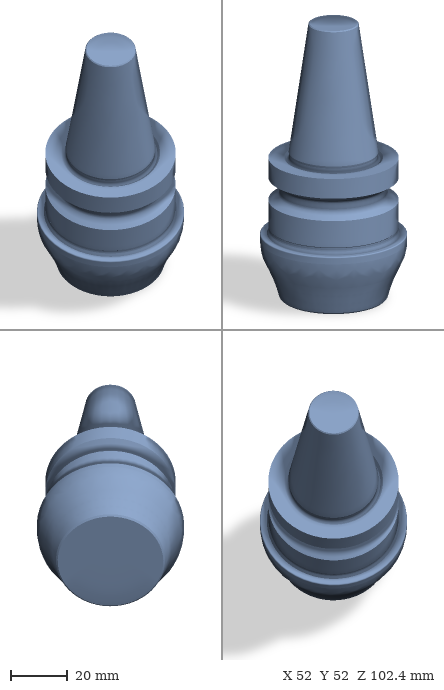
import cadquery as cq

total_height = 102.4

nose_end_radius = 19.3
nose_chamfer = 0.6
nose_blend_radius = 23.0
nose_blend_z = 11.1
body_radius = 26.0
body_straight_z = 21.2
body_top_z = 23.9
body_edge_fillet = 0.4
waist_sag = 0.3

flange_radius = 23.0
relief_radius = 22.7
relief_foot_radius = 23.6
relief_bottom_z = 25.1
relief_fillet = 0.9
relief_top_z = 26.1
relief_bevel = flange_radius - relief_radius

flange_top_z = 52.1
groove_radius = 19.0
groove_mid_z = 40.5
groove_mouth_half_width = 4.2
groove_floor_half_width = 1.69
groove_fillet = 0.9

undercut_radius = 17.5
undercut_depth = 0.7
neck_radius = 15.7
undercut_fillet = 0.9

taper_slope = 7 / 48
taper_bottom_z = 54.3
taper_large_radius = 15.9
neck_top_z = 53.5
shank_chamfer = 0.36
shank_end_radius = taper_large_radius - taper_slope * (total_height - taper_bottom_z)


def lower_profile(outline):
    """Nose end, hollow waist, bulged body and its top edge."""
    chord_r = nose_blend_radius - nose_end_radius
    chord_z = nose_blend_z - nose_chamfer
    chord = (chord_r**2 + chord_z**2) ** 0.5
    waist_mid = (
        (nose_end_radius + nose_blend_radius) / 2 - waist_sag * chord_z / chord,
        (nose_chamfer + nose_blend_z) / 2 + waist_sag * chord_r / chord,
    )
    bulge_r = body_radius - nose_blend_radius
    bulge_z = body_straight_z - nose_blend_z
    bulge_radius = (bulge_r**2 + bulge_z**2) / (2 * bulge_r)
    return (
        outline.lineTo(nose_end_radius - nose_chamfer, 0)
        .lineTo(nose_end_radius, nose_chamfer)
        .threePointArc(waist_mid, (nose_blend_radius, nose_blend_z))
        .radiusArc((body_radius, body_straight_z), -bulge_radius)
        .lineTo(body_radius, body_top_z)
    )


def flange_profile(outline):
    """Relief, grooved flange and the undercut in its upper face."""
    undercut_floor_z = flange_top_z - undercut_depth
    return (
        outline.lineTo(relief_foot_radius, body_top_z)
        .lineTo(relief_radius, relief_bottom_z)
        .lineTo(relief_radius, relief_top_z)
        .lineTo(flange_radius, relief_top_z + relief_bevel)
        .lineTo(flange_radius, groove_mid_z - groove_mouth_half_width)
        .lineTo(groove_radius, groove_mid_z - groove_floor_half_width)
        .lineTo(groove_radius, groove_mid_z + groove_floor_half_width)
        .lineTo(flange_radius, groove_mid_z + groove_mouth_half_width)
        .lineTo(flange_radius, flange_top_z)
        .lineTo(undercut_radius, flange_top_z)
        .lineTo(neck_radius + undercut_fillet, undercut_floor_z)
        .radiusArc((neck_radius, undercut_floor_z + undercut_fillet), undercut_fillet)
    )


def shank_profile(outline):
    """Neck, taper and chamfered upper end."""
    chamfer_bottom_z = total_height - shank_chamfer
    chamfer_base_radius = shank_end_radius + taper_slope * shank_chamfer
    return (
        outline.lineTo(neck_radius, neck_top_z)
        .lineTo(taper_large_radius, taper_bottom_z)
        .lineTo(chamfer_base_radius, chamfer_bottom_z)
        .lineTo(chamfer_base_radius - shank_chamfer, total_height)
        .lineTo(0, total_height)
    )


def fillet_ring(solid, ring_z, radius):
    """Round the circular edge centred on the axis at height ring_z."""
    ring = cq.selectors.NearestToPointSelector((0, 0, ring_z))
    return solid.edges("%CIRCLE").edges(ring).fillet(radius)


half_section = shank_profile(flange_profile(lower_profile(cq.Workplane("XZ").moveTo(0, 0))))
holder = half_section.close().revolve(360, (0, 0, 0), (0, 1, 0))

holder = fillet_ring(holder, groove_mid_z - groove_floor_half_width, groove_fillet)
holder = fillet_ring(holder, groove_mid_z + groove_floor_half_width, groove_fillet)
holder = fillet_ring(holder, relief_bottom_z, relief_fillet)

body_top = holder.faces(cq.selectors.NearestToPointSelector((0, 0, body_top_z)))
body_rim = body_top.edges(cq.selectors.RadiusNthSelector(-1))
result = body_rim.fillet(body_edge_fillet)